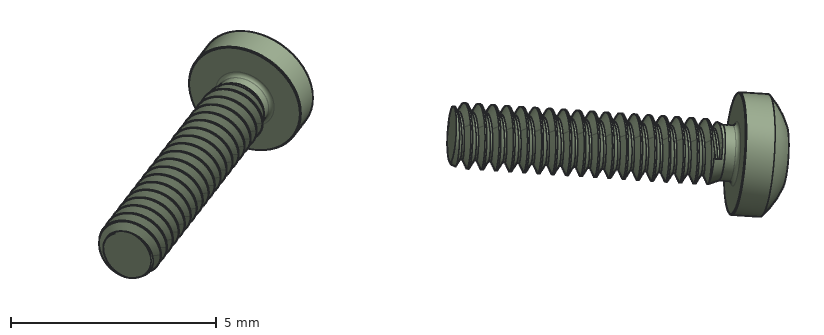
import cadquery as cq
import math

head_diameter = 3.0
head_height = 1.2
head_rim_height = 0.73
head_flat_diameter = 1.6
head_edge_chamfer = 0.025

thread_diameter = 1.6
pitch = 0.35
shank_length = 7.0
neck_length = pitch
neck_diameter = 1.37
neck_fillet = 0.1
thread_lead_in = 0.28
tip_diameter = 1.4
tip_taper_length = 0.24

crest_width = pitch / 8
thread_depth = 17 / 24 * math.sqrt(3) / 2 * pitch
half_thread_angle = math.radians(30)
flank_run = thread_depth * math.tan(half_thread_angle)
root_width = pitch - crest_width - 2 * flank_run

head_radius = head_diameter / 2
thread_radius = thread_diameter / 2
neck_radius = neck_diameter / 2
root_radius = thread_radius - thread_depth

groove_fade_turns = 0.25
groove_start_y = -1.5 * pitch
groove_overrun_turns = 0.5
cutter_clearance = 0.02


def dome_midpoint():
    """Point halfway along the dome arc, on a sphere centred on the screw axis."""
    flat_radius = head_flat_diameter / 2
    rise = head_height**2 - head_rim_height**2
    centre_y = (flat_radius**2 - head_radius**2 + rise) / (2 * (head_height - head_rim_height))
    sphere_radius = math.hypot(flat_radius, head_height - centre_y)
    middle_radius = (flat_radius + head_radius) / 2
    return middle_radius, centre_y + math.sqrt(sphere_radius**2 - middle_radius**2)


def make_blank():
    """Head, neck and unthreaded shank turned as one body."""
    fillet_offset = neck_fillet * (1 - math.sqrt(0.5))
    return (
        cq.Workplane("XY")
        .moveTo(0, head_height)
        .lineTo(head_flat_diameter / 2, head_height)
        .threePointArc(dome_midpoint(), (head_radius, head_rim_height))
        .lineTo(head_radius, head_edge_chamfer)
        .lineTo(head_radius - head_edge_chamfer, 0)
        .lineTo(neck_radius + neck_fillet, 0)
        .threePointArc(
            (neck_radius + fillet_offset, -fillet_offset),
            (neck_radius, -neck_fillet),
        )
        .lineTo(neck_radius, -neck_length)
        .lineTo(thread_radius, -neck_length - thread_lead_in)
        .lineTo(thread_radius, tip_taper_length - shank_length)
        .lineTo(tip_diameter / 2, -shank_length)
        .lineTo(0, -shank_length)
        .close()
        .revolve(360, (0, 0, 0), (0, 1, 0))
    )


def groove_corners():
    """(radius, axial offset) of each corner of the V-shaped groove section."""
    cutter_depth = thread_depth + cutter_clearance
    half_root = root_width / 2
    half_mouth = half_root + cutter_depth * math.tan(half_thread_angle)
    mouth_radius = root_radius + cutter_depth
    return [
        (root_radius, -half_root),
        (mouth_radius, -half_mouth),
        (mouth_radius, half_mouth),
        (root_radius, half_root),
    ]


def groove_cutter(make_corner_helix):
    """Solid bounded by ruled faces between the helices of the groove corners, built along Z."""
    edges = [make_corner_helix(radius).translate(cq.Vector(0, 0, z)) for radius, z in groove_corners()]
    next_edges = edges[1:] + edges[:1]
    faces = [cq.Face.makeRuledSurface(edge, following) for edge, following in zip(edges, next_edges)]
    start_corners = [edge.startPoint() for edge in edges]
    end_corners = [edge.endPoint() for edge in edges]
    for corners in (start_corners, end_corners):
        faces.append(cq.Face.makeFromWires(cq.Wire.makePolygon(corners, close=True)))
    return cq.Workplane(cq.Solid.makeSolid(cq.Shell.makeShell(faces)))


def full_depth_helix(radius):
    return cq.Wire.makeHelix(pitch, pitch, radius)


def fading_helix(radius):
    """Part-turn helix that climbs outward by the thread depth."""
    fade_height = groove_fade_turns * pitch
    cone_angle = math.atan(thread_depth / fade_height)
    slant_pitch = pitch / math.cos(cone_angle)
    return cq.Wire.makeHelix(slant_pitch, fade_height, radius, angle=math.degrees(cone_angle))


def along_screw(body, start_y):
    """Turn a body built along Z onto the Y axis, with its base at start_y."""
    return body.rotate((0, 0, 0), (1, 0, 0), -90).translate((0, start_y, 0))


def cut_thread(blank):
    """Cut the groove turn by turn past the tip, then fade it out toward the neck."""
    one_turn = groove_cutter(full_depth_helix)
    turns = math.ceil((shank_length + groove_start_y) / pitch + groove_overrun_turns)
    threaded = blank
    for turn in range(1, turns + 1):
        threaded = threaded.cut(along_screw(one_turn, groove_start_y - turn * pitch))
    return threaded.cut(along_screw(groove_cutter(fading_helix), groove_start_y))


result = cut_thread(make_blank())